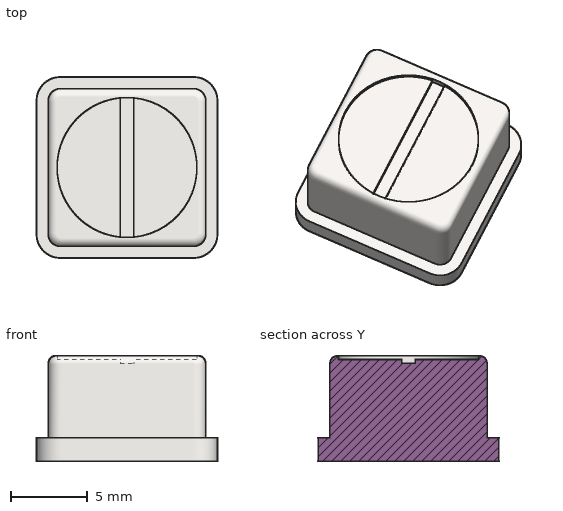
import cadquery as cq

flange_side = 11.84
flange_height = 1.56
flange_corner_radius = 1.57

body_inset = 0.77
body_side = flange_side - 2 * body_inset
body_corner_radius = flange_corner_radius - body_inset
total_height = 6.92
body_height = total_height - flange_height
top_edge_radius = 0.52

recess_diameter = 9.14
recess_depth = 0.25
slot_width = 0.88
slot_depth = 0.25


def rounded_block(side, height, corner_radius):
    """Square block centred on Z, standing on Z = 0, with rounded vertical edges."""
    block = cq.Workplane("XY").rect(side, side).extrude(height)
    return block.edges("|Z").fillet(corner_radius)


def recess_disc(depth):
    """Disc of the recess diameter reaching down from the top face."""
    return (
        cq.Workplane("XY")
        .workplane(offset=total_height - depth)
        .circle(recess_diameter / 2)
        .extrude(depth)
    )


def make_flange():
    return rounded_block(flange_side, flange_height, flange_corner_radius)


def make_body():
    body = rounded_block(body_side, body_height, body_corner_radius)
    body = body.faces(">Z").edges().fillet(top_edge_radius)
    return body.translate((0, 0, flange_height))


def make_slot():
    """Slot along Y whose ends follow the wall of the recess."""
    strip = cq.Workplane("XY").box(slot_width, recess_diameter, 2 * total_height)
    return recess_disc(recess_depth + slot_depth).intersect(strip)


result = make_flange().union(make_body())
result = result.cut(recess_disc(recess_depth))
result = result.cut(make_slot())